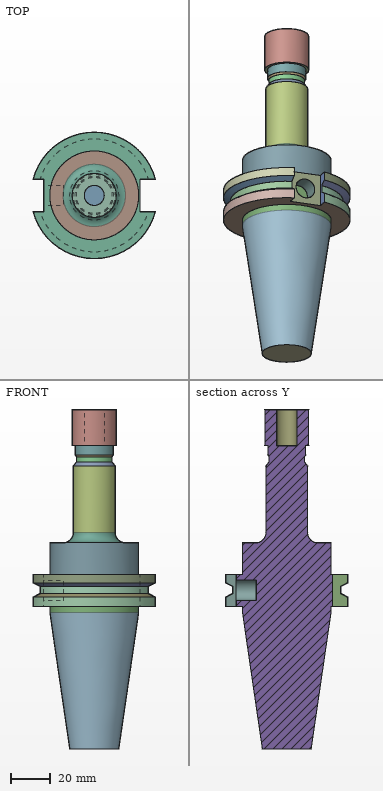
import cadquery as cq

total_length = 169.8
cap_bottom = 151.8
neck_bottom = 147.3
relief_top = 146.2
relief_bottom = 143.7
shaft_top = 141.7
collar_top = 103.3
flange_top = 87.5
flange_bottom = 71.3
gauge_height = 68.3

cap_diameter = 22.0
neck_diameter = 19.2
relief_diameter = 18.0
shaft_diameter = 21.0
collar_diameter = 44.5
flange_diameter = 63.4
flange_groove_diameter = 56.5

taper_rate = 7 / 24
taper_end_diameter = collar_diameter - gauge_height * taper_rate

shaft_fillet_radius = 5.1

groove_center = 79.7
groove_mouth_width = 7.1
groove_floor_width = 3.5

slot_width = 16.1
left_slot_floor = 25.3
right_slot_floor = 23.0

hole_diameter = 10.0
tool_hole_depth = 18.0
slot_hole_depth = 10.0


def make_body():
    """Revolve the holder outline, without the gripper groove."""
    shaft_radius = shaft_diameter / 2
    collar_radius = collar_diameter / 2
    flange_radius = flange_diameter / 2
    fillet_center = (shaft_radius + shaft_fillet_radius, collar_top + shaft_fillet_radius)
    diagonal_offset = shaft_fillet_radius / 2 ** 0.5
    fillet_middle = (fillet_center[0] - diagonal_offset, fillet_center[1] - diagonal_offset)
    return (
        cq.Workplane("XZ")
        .lineTo(taper_end_diameter / 2, 0)
        .lineTo(collar_radius, gauge_height)
        .lineTo(collar_radius, flange_bottom)
        .lineTo(flange_radius, flange_bottom)
        .lineTo(flange_radius, flange_top)
        .lineTo(collar_radius, flange_top)
        .lineTo(collar_radius, collar_top)
        .lineTo(fillet_center[0], collar_top)
        .threePointArc(fillet_middle, (shaft_radius, fillet_center[1]))
        .lineTo(shaft_radius, shaft_top)
        .lineTo(relief_diameter / 2, relief_bottom)
        .lineTo(relief_diameter / 2, relief_top)
        .lineTo(neck_diameter / 2, neck_bottom)
        .lineTo(neck_diameter / 2, cap_bottom)
        .lineTo(cap_diameter / 2, cap_bottom)
        .lineTo(cap_diameter / 2, total_length)
        .lineTo(0, total_length)
        .close()
        .revolve(360, (0, 0, 0), (0, 1, 0))
    )


def make_gripper_groove():
    """Ring with a trapezoidal section, narrowing toward the axis."""
    floor_radius = flange_groove_diameter / 2
    rim_radius = flange_diameter / 2
    half_floor = groove_floor_width / 2
    half_mouth = groove_mouth_width / 2
    return (
        cq.Workplane("XZ")
        .moveTo(floor_radius, groove_center - half_floor)
        .lineTo(rim_radius, groove_center - half_mouth)
        .lineTo(rim_radius, groove_center + half_mouth)
        .lineTo(floor_radius, groove_center + half_floor)
        .close()
        .revolve(360, (0, 0, 0), (0, 1, 0))
    )


def make_drive_slot(side, floor_distance):
    """Box that opens one side of the flange; side is -1 or +1 along X."""
    slot_depth = flange_diameter / 2 - floor_distance
    return cq.Workplane("XY").box(
        slot_depth, slot_width, flange_top - flange_bottom
    ).translate((side * (floor_distance + slot_depth / 2), 0, (flange_top + flange_bottom) / 2))


def make_slot_hole():
    """Blind hole running inward from the floor of the -X slot."""
    hole_height = (flange_top + flange_bottom) / 2
    return (
        cq.Workplane("YZ", origin=(-left_slot_floor, 0, hole_height))
        .circle(hole_diameter / 2)
        .extrude(slot_hole_depth)
    )


def make_tool_hole():
    """Blind axial hole in the top of the cap."""
    return (
        cq.Workplane("XY", origin=(0, 0, total_length))
        .circle(hole_diameter / 2)
        .extrude(-tool_hole_depth)
    )


result = make_body().cut(make_gripper_groove())
for side, floor_distance in ((-1, left_slot_floor), (1, right_slot_floor)):
    result = result.cut(make_drive_slot(side, floor_distance))
result = result.cut(make_slot_hole()).cut(make_tool_hole())